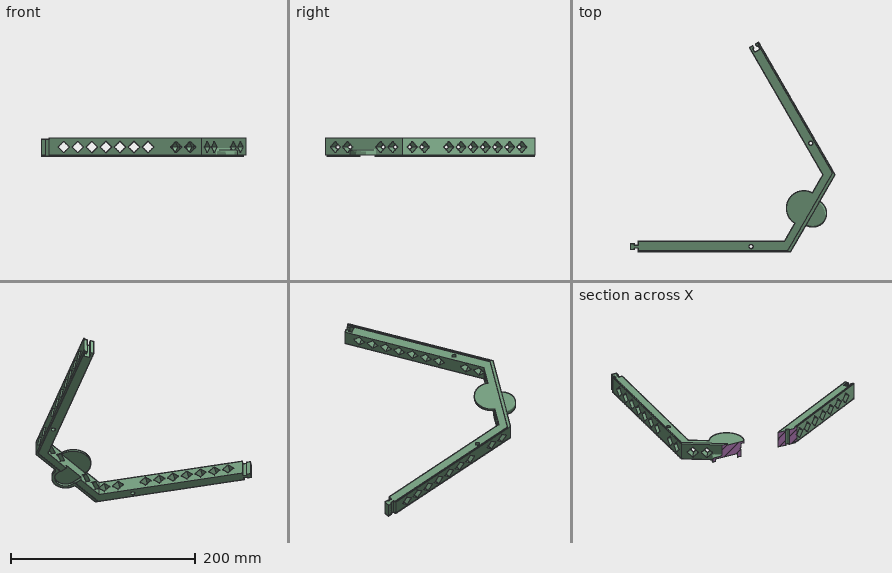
import cadquery as cq
import math

overall_x = 221.8
overall_y = 227.3
bend_angle = 60.0
bend_sin = math.sin(math.radians(bend_angle))
bend_cos = math.cos(math.radians(bend_angle))

bar_width = 11.5
body_height = 18.6
stack_step = 1.4
bar_height = body_height + stack_step
arm_skin = 1.5
middle_skin = 3.5

tongue_neck_length = 4.0
tongue_head_length = 4.3
socket_neck_length = 3.2
socket_head_length = 4.0
joint_neck_width = 3.5
joint_head_width = 6.4
tongue_relief = 0.5

middle_length = 96.5
tongue_length = tongue_neck_length + tongue_head_length
first_arm_length = overall_x - tongue_length - middle_length * bend_cos
last_arm_length = overall_y / bend_sin - middle_length

pin_diameter = 4.3
pin_from_bend = 42.7
window_half_diagonal = 6.1
window_pitch = 15.2
window_height = bar_height / 2
arm_window_steps = [-2, -1, 1, 2, 3, 4, 5, 6, 7]
middle_window_offset = 20.7

plate_radius = 19.0
plate_inset = 11.1
plate_thickness = 2.7

housing_radius = 15.0
housing_top = 6.8
housing_round = 2.0
housing_root_fillet = 1.8
cavity_radius = 11.8
cavity_height = 4.3

bend_x = first_arm_length
apex_x = bend_x + middle_length * bend_cos
apex_y = middle_length * bend_sin
z_axis = cq.Vector(0, 0, 1)
first_arm = cq.Location(cq.Vector(0, 0, 0), z_axis, 0)
middle_bar = cq.Location(cq.Vector(bend_x, 0, 0), z_axis, bend_angle)
last_arm = cq.Location(cq.Vector(apex_x, apex_y, 0), z_axis, 2 * bend_angle)


def place(shape, bar):
    """Move a shape from a bar's local frame into the part."""
    return cq.Workplane(shape.val().moved(bar))


def cut_placed(target, tool, bar):
    """Cut every solid of a tool given in a bar's local frame."""
    for solid in tool.solids().vals():
        target = target.cut(place(cq.Workplane(solid), bar))
    return target


def local_point(bar, along, inward):
    """Give the plan position of a point in a bar's local frame."""
    position = (bar * cq.Location(cq.Vector(along, inward, 0))).toTuple()[0]
    return position[:2]


def path_points(arm_inset, middle_inset):
    """Corners of the three-bar path, set inward from the outer faces."""
    before_bend = (arm_inset * bend_cos - middle_inset) / bend_sin
    before_apex = (middle_inset * bend_cos - arm_inset) / bend_sin
    return [
        local_point(first_arm, 0, arm_inset),
        local_point(first_arm, first_arm_length + before_bend, arm_inset),
        local_point(middle_bar, middle_length + before_apex, middle_inset),
        local_point(last_arm, last_arm_length, arm_inset),
    ]


def band(outer, inner, bottom, top):
    """Solid between two paths and two heights."""
    outline = outer + inner[::-1]
    return cq.Workplane("XY").workplane(offset=bottom).polyline(outline).close().extrude(top - bottom)


def block(x_start, x_end, y_start, y_end, top):
    """Rectangular block standing on the base plane."""
    return cq.Workplane("XY").box(x_end - x_start, y_end - y_start, top, centered=False).translate(
        (x_start, y_start, 0)
    )


def joint(end, neck_length, head_length, height):
    """T-shaped joint running back from an arm position, neck first."""
    centre = bar_width / 2
    neck_end = end - neck_length
    head_end = neck_end - head_length
    neck = block(neck_end, end, centre - joint_neck_width / 2, centre + joint_neck_width / 2, height)
    head = block(head_end, neck_end, centre - joint_head_width / 2, centre + joint_head_width / 2, height)
    return neck.union(head)


def tongue():
    """T-shaped tongue with a shallow relief along the lower outer edge of its head."""
    head_side = (bar_width - joint_head_width) / 2
    relief = block(-tongue_length, -tongue_neck_length, head_side, head_side + tongue_relief, stack_step)
    return joint(0, tongue_neck_length, tongue_head_length, body_height).cut(relief)


def windows(positions):
    """Diamond prisms crossing a bar at the given places along it."""
    side = window_half_diagonal * math.sqrt(2)
    centres = [(along, window_height) for along in positions]
    return (
        cq.Workplane("XZ", origin=(0, bar_width, 0))
        .pushPoints(centres)
        .sketch()
        .rect(side, side, angle=45)
        .finalize()
        .extrude(bar_width)
    )


def pin_hole(along):
    """Upright pin hole on the centre line of an arm."""
    return cq.Workplane("XY").center(along, bar_width / 2).circle(pin_diameter / 2).extrude(bar_height)


def round_plate():
    """Disc level with the top of the body, trimmed at the skin."""
    disc = (
        cq.Workplane("XY")
        .workplane(offset=body_height - plate_thickness)
        .center(middle_length / 2, plate_inset)
        .circle(plate_radius)
        .extrude(plate_thickness)
    )
    inner_side = block(0, middle_length, middle_skin, 2 * plate_radius + plate_inset, body_height)
    return disc.intersect(inner_side)


def housing():
    """Half-round boss with a rounded rim, blended into a backing slab inside the skin."""
    disc = (
        cq.Workplane("XY")
        .workplane(offset=stack_step)
        .center(middle_length / 2, 0)
        .circle(housing_radius)
        .extrude(housing_top - stack_step)
        .faces(">Z")
        .edges()
        .fillet(housing_round)
    )
    slab_half_length = housing_radius + 2 * housing_root_fillet
    slab_top = housing_top + 2 * housing_root_fillet
    slab = block(
        middle_length / 2 - slab_half_length,
        middle_length / 2 + slab_half_length,
        0,
        middle_skin,
        slab_top,
    )
    outer_side = block(0, middle_length, -2 * housing_radius, 0, bar_height)
    below = block(0, middle_length, 0, middle_skin, stack_step)
    boss = disc.intersect(outer_side).union(slab.cut(below))
    margin = housing_root_fillet / 2
    root = cq.selectors.BoxSelector(
        (middle_length / 2 - housing_radius - margin, -margin, stack_step + margin),
        (middle_length / 2 + housing_radius + margin, margin, housing_top + margin),
    )
    return boss.edges(root).fillet(housing_root_fillet)


def housing_cavity():
    """Pocket open below and on the inner side, ending in a half round."""
    left = middle_length / 2 - cavity_radius
    right = middle_length / 2 + cavity_radius
    return (
        cq.Workplane("XY")
        .moveTo(left, bar_width)
        .lineTo(left, 0)
        .threePointArc((middle_length / 2, -cavity_radius), (right, 0))
        .lineTo(right, bar_width)
        .close()
        .extrude(cavity_height)
    )


outer_path = path_points(0, 0)
skin_path = path_points(arm_skin, middle_skin)
inner_path = path_points(bar_width, bar_width)
body = band(skin_path, inner_path, 0, body_height)
skin = band(outer_path, skin_path, stack_step, bar_height)
frame = body.union(skin)

frame = frame.union(place(round_plate(), middle_bar))
frame = frame.union(place(housing(), middle_bar))
frame = cut_placed(frame, housing_cavity(), middle_bar)

first_pin = first_arm_length - pin_from_bend
first_windows = [first_pin - step * window_pitch for step in arm_window_steps]
last_windows = [pin_from_bend + step * window_pitch for step in arm_window_steps]
window_offsets = [middle_window_offset, middle_window_offset + window_pitch]
middle_windows = [middle_length / 2 + side * offset for side in (-1, 1) for offset in window_offsets]
frame = cut_placed(frame, windows(first_windows), first_arm)
frame = cut_placed(frame, windows(middle_windows), middle_bar)
frame = cut_placed(frame, windows(last_windows), last_arm)
frame = cut_placed(frame, pin_hole(first_pin), first_arm)
frame = cut_placed(frame, pin_hole(pin_from_bend), last_arm)

socket = joint(last_arm_length, socket_neck_length, socket_head_length, bar_height)
frame = frame.union(place(tongue(), first_arm))
result = cut_placed(frame, socket, last_arm)